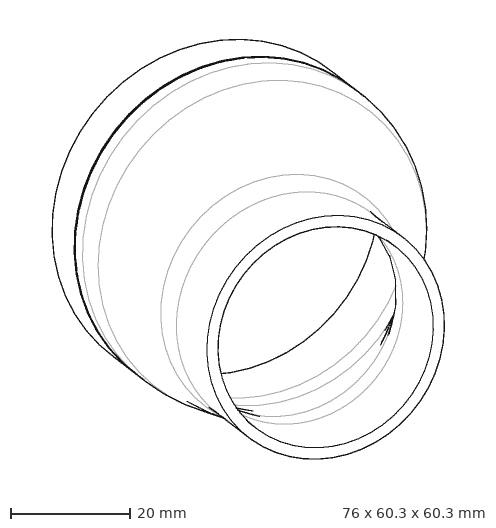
import cadquery as cq
import math

length = 76.0
large_diameter = 60.3
small_diameter = 42.4
wall = 2.0

slope_start = length / 4
slope_end = length - slope_start
slope_angle = math.atan2(large_diameter - small_diameter, slope_end - slope_start)

bend_radius = 18.0
bend_reach = bend_radius * math.tan(slope_angle / 2)
bend_steps = 4

groove_position = 11.0
groove_width = 0.4
groove_depth = 0.1


def bend_drop(angle):
    """Drop of the bend arc, from its level end to the given angle."""
    return bend_radius * (1 - math.cos(angle))


def bend_sections(turned):
    """Positions (x, diameter) through one bend, from its level end to its sloping end.

    The large bend starts at the large tube. The small bend is the same arc turned
    half a revolution, starting at the small tube.
    """
    sections = []
    for step in range(bend_steps + 1):
        angle = slope_angle * step / bend_steps
        advance = bend_radius * math.sin(angle) - bend_reach
        if turned:
            sections.append((slope_end - advance, small_diameter + bend_drop(angle)))
        else:
            sections.append((slope_start + advance, large_diameter - bend_drop(angle)))
    return sections


def ring(x, diameter, inset):
    """Circle across X, flush with the large tube on the -Y side, shrunk by inset."""
    centre = cq.Vector(x, (diameter - large_diameter) / 2, 0)
    return cq.Wire.makeCircle(diameter / 2 - inset, centre, cq.Vector(1, 0, 0))


def loft(sections, inset, ruled):
    """Solid through the rings at the given sections, straight between them if ruled."""
    rings = [ring(x, diameter, inset) for x, diameter in sections]
    return cq.Workplane(cq.Solid.makeLoft(rings, ruled))


def reducer_body(inset):
    """Solid body of the reducer, with every cross-section shrunk by inset."""
    large_bend = bend_sections(turned=False)
    small_bend = bend_sections(turned=True)[::-1]
    large_tube = loft([(0, large_diameter), large_bend[0]], inset, ruled=True)
    slope = loft([large_bend[-1], small_bend[0]], inset, ruled=True)
    small_tube = loft([small_bend[-1], (length, small_diameter)], inset, ruled=True)
    return (
        large_tube.union(loft(large_bend, inset, ruled=False))
        .union(slope)
        .union(loft(small_bend, inset, ruled=False))
        .union(small_tube)
    )


def marking_groove():
    """Ring that cuts the groove into the outside of the large tube."""
    outer_radius = large_diameter / 2
    return (
        cq.Workplane("YZ", origin=(groove_position - groove_width / 2, 0, 0))
        .circle(outer_radius + groove_depth)
        .circle(outer_radius - groove_depth)
        .extrude(groove_width)
    )


result = reducer_body(0).cut(reducer_body(wall)).cut(marking_groove())